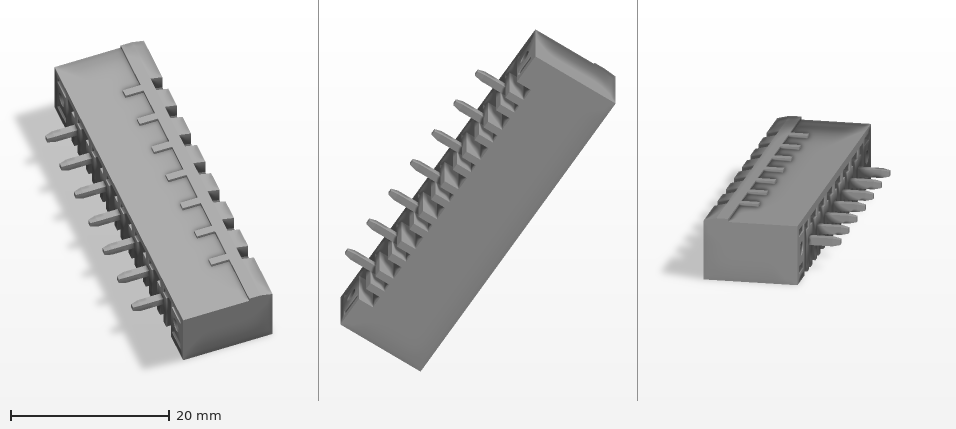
import cadquery as cq
import math

LENGTH = 45.0
DEPTH = 12.1
BODY_HEIGHT = 7.8
TOTAL_HEIGHT = 8.2

PIN_COUNT = 7
PITCH = LENGTH / (PIN_COUNT + 2)
PIN_XS = [(i - (PIN_COUNT - 1) / 2) * PITCH for i in range(PIN_COUNT)]

RAIL_DEPTH = 3.15
RAIL_SLOPE_DEPTH = 1.6
FINGER_WIDTH = 1.0
FINGER_REACH = 5.6

NOTCH_WIDTH = 2.02
NOTCH_FLOOR_RADIUS = 2.25
NOTCH_FLOOR_Z = 5.62
NOTCH_FLOOR_TILT = math.degrees(math.atan2(TOTAL_HEIGHT - BODY_HEIGHT, RAIL_SLOPE_DEPTH))

RECESS_WIDTH = 36.45
RECESS_TOP = 6.75
RECESS_DEPTH = 2.1
POST_WIDTH = 3.1
POST_SHOULDER_Z = 5.55
NECK_WIDTH = 0.9

PIN_WIDTH = 1.0
PIN_HEIGHT = 1.05
PIN_Z = 3.75
PIN_LENGTH = 4.0
TIP_LENGTH = 0.95
TIP_TAPER = 0.2
CHANNEL_WIDTH = 1.12
CHANNEL_TOP = 4.35

HOLE_DIAMETER = 1.6
HOLE_MOUTH_DIAMETER = 1.8
HOLE_MOUTH_DEPTH = RECESS_DEPTH
HOLE_Z = 4.1
HOLE_X = LENGTH / 2 - PITCH / 2
SLIT_WIDTH = 2.95
SLIT_HEIGHT = 1.0
SLIT_END_MARGIN = 1.0
SLIT_X = LENGTH / 2 - SLIT_END_MARGIN - SLIT_WIDTH / 2
SLIT_ZS = (1.65, 6.52)
SLIT_DEPTH = RECESS_DEPTH


def block(x, width, y0, y1, z0, z1):
    """Box centred at x, spanning y0..y1 and z0..z1."""
    box = cq.Workplane("XY").box(width, y1 - y0, z1 - z0, centered=(True, False, False))
    return box.translate((x, y0, z0))


def make_housing():
    """Block and rear rail as one side profile and extruded along X."""
    profile = [
        (0, 0),
        (DEPTH, 0),
        (DEPTH, BODY_HEIGHT),
        (DEPTH - RAIL_SLOPE_DEPTH, TOTAL_HEIGHT),
        (DEPTH - RAIL_DEPTH, TOTAL_HEIGHT),
        (DEPTH - RAIL_DEPTH, BODY_HEIGHT),
        (0, BODY_HEIGHT),
    ]
    return cq.Workplane("YZ").polyline(profile).close().extrude(LENGTH / 2, both=True)


def make_finger(x):
    """Finger running forward from the rail."""
    return block(x, FINGER_WIDTH, DEPTH - FINGER_REACH, DEPTH - RAIL_DEPTH, BODY_HEIGHT, TOTAL_HEIGHT)


def make_notch(x):
    """Straight-sided cutter whose rounded floor falls towards the rear."""
    slot = block(x, NOTCH_WIDTH, DEPTH - RAIL_SLOPE_DEPTH, DEPTH, 0, TOTAL_HEIGHT)
    trough = (
        cq.Workplane("XZ")
        .circle(NOTCH_FLOOR_RADIUS)
        .extrude(DEPTH, both=True)
        .union(block(0, 2 * NOTCH_FLOOR_RADIUS, -DEPTH, DEPTH, 0, TOTAL_HEIGHT))
        .rotate((0, 0, 0), (1, 0, 0), -NOTCH_FLOOR_TILT)
        .translate((x, DEPTH, NOTCH_FLOOR_Z + NOTCH_FLOOR_RADIUS))
    )
    return slot.intersect(trough)


def make_post(x):
    """Post in the recess: wide foot, narrow neck and a channel below the pin."""
    foot = block(x, POST_WIDTH, 0, RECESS_DEPTH, 0, POST_SHOULDER_Z)
    neck = block(x, NECK_WIDTH, 0, RECESS_DEPTH, POST_SHOULDER_Z, RECESS_TOP)
    channel = block(x, CHANNEL_WIDTH, 0, RECESS_DEPTH, 0, CHANNEL_TOP)
    return foot.union(neck).cut(channel)


def make_pin(x):
    """Pin from the back of the recess out through the front, with a tapered tip."""
    shank_end = TIP_LENGTH - PIN_LENGTH
    bottom = PIN_Z - PIN_HEIGHT / 2
    shank = block(x, PIN_WIDTH, shank_end, RECESS_DEPTH, bottom, bottom + PIN_HEIGHT)
    tip = (
        cq.Workplane("XZ", origin=(x, shank_end, PIN_Z))
        .rect(PIN_WIDTH, PIN_HEIGHT)
        .workplane(offset=TIP_LENGTH)
        .rect(PIN_WIDTH - 2 * TIP_TAPER, PIN_HEIGHT - 2 * TIP_TAPER)
        .loft()
    )
    return shank.union(tip)


def make_end_cuts(side):
    """Stepped through hole and slits at one end; side is -1 or 1."""
    hole_plane = cq.Workplane("XZ", origin=(side * HOLE_X, 0, HOLE_Z))
    mouth = hole_plane.circle(HOLE_MOUTH_DIAMETER / 2).extrude(-HOLE_MOUTH_DEPTH)
    cuts = hole_plane.circle(HOLE_DIAMETER / 2).extrude(-DEPTH).union(mouth)
    for z in SLIT_ZS:
        cuts = cuts.union(
            block(side * SLIT_X, SLIT_WIDTH, 0, SLIT_DEPTH, z - SLIT_HEIGHT / 2, z + SLIT_HEIGHT / 2)
        )
    return cuts


result = make_housing().cut(block(0, RECESS_WIDTH, 0, RECESS_DEPTH, 0, RECESS_TOP))

for side in (-1, 1):
    result = result.cut(make_end_cuts(side))

for x in PIN_XS:
    result = result.cut(make_notch(x))
    result = result.union(make_finger(x)).union(make_post(x)).union(make_pin(x))